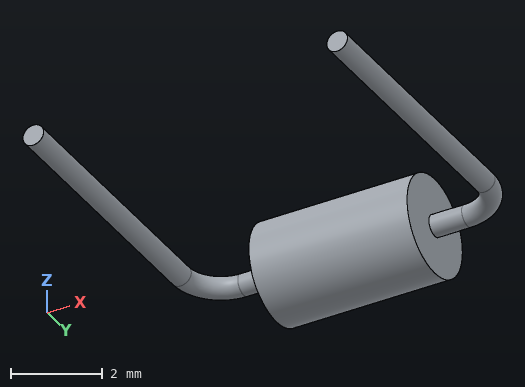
import cadquery as cq

body_diameter = 2.44
body_length = 3.97
wire_diameter = 0.52
overall_width = 8.14
overall_depth = 8.72
bend_radius = 1.0

leg_x = (overall_width - wire_diameter) / 2
leg_tip_y = body_diameter / 2 - overall_depth
straight_half = leg_x - bend_radius


def make_body():
    """Cylinder with a through bore that fits the wire."""
    return (
        cq.Workplane("YZ", origin=(-body_length / 2, 0, 0))
        .circle(body_diameter / 2)
        .circle(wire_diameter / 2)
        .extrude(body_length)
    )


def make_lead():
    """Round wire swept along the U-shaped centreline, from left tip to right tip."""
    centreline = (
        cq.Workplane("XY")
        .moveTo(-leg_x, leg_tip_y)
        .lineTo(-leg_x, -bend_radius)
        .tangentArcPoint((-straight_half, 0), relative=False)
        .lineTo(straight_half, 0)
        .tangentArcPoint((leg_x, -bend_radius), relative=False)
        .lineTo(leg_x, leg_tip_y)
    )
    return (
        cq.Workplane("XZ", origin=(-leg_x, leg_tip_y, 0))
        .circle(wire_diameter / 2)
        .sweep(centreline)
    )


body = make_body()
lead = make_lead()
result = cq.Compound.makeCompound([body.val(), lead.val()])